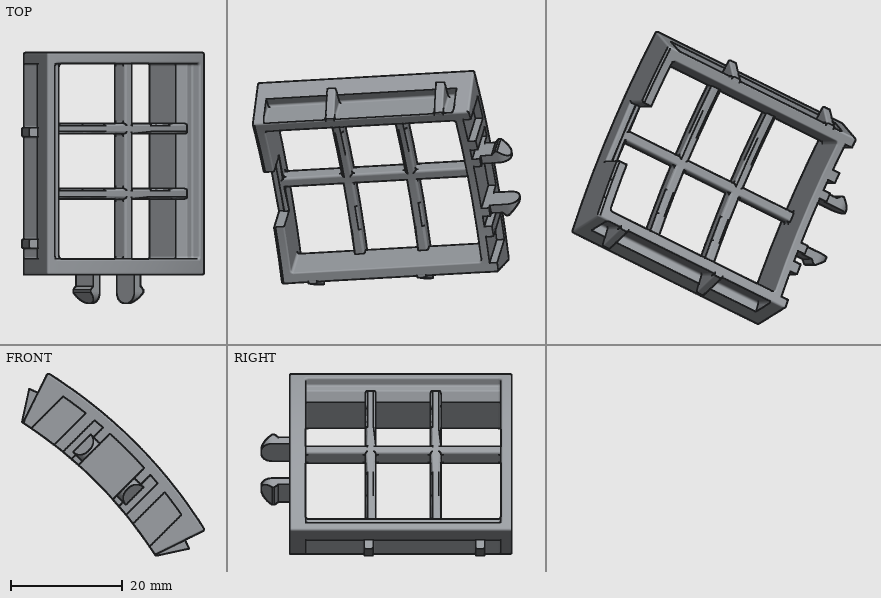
import cadquery as cq
import math


OUTER_RADIUS = 88.0
INNER_RADIUS = 78.05
OUTER_HALF_WIDTH = 19.95
END_TILT = 18.75
FRONT_Y = -19.88
BACK_Y = 20.0
EDGE_RADIUS = 0.4
SEAT_ANGLE = 45.0

CAVITY_FRONT_Y = -17.0
CAVITY_BACK_Y = 18.0
CAVITY_HALF_WIDTH = 14.8
FLARE_ANGLE = 45.0
LIP_HALF_WIDTH = 16.24
RECESS_HALF_WIDTH = 17.8
RECESS_DEPTH = 1.6
CAVITY_CORNER_RADIUS = 0.5
INNER_RIM_RADIUS = 0.3
RIM_SEARCH_SHARE = 0.8

BAR_WIDTH = 1.9
BAR_HEIGHT = 3.0
BAR_EDGE_RADIUS = 0.45
WINDOW_CORNER_RADIUS = 0.4
CROSSING_INSET = 0.55
WINDOW_ROWS = 3

POCKET_CEILING = 81.78
RIB_WIDTH = 1.6
RIB_SPACING = 20.0
RIB_OFFSET = 4.3
RIB_EDGE_RADIUS = 0.3
RIB_TIP = (20.3, 81.35)
RIB_ROOT_HEIGHT = 81.95
RIB_FOOT_PROJECTION = 0.28

GROOVE_DEPTH = 1.4
GROOVE_TOP_OFFSET = 2.0
PEG_INNER = 4.35
PEG_OUTER = 6.0
SLOT_OUTER = 8.0
PANEL_INNER = 10.0
PANEL_OUTER = 15.0

PEG_LENGTH = 5.1
PEG_BOTTOM = 78.88
PEG_TOP = 83.35
PEG_TIP_RADIUS = 2.0
HOOK_START = 2.0
HOOK_DEPTH = 0.7
HOOK_LAND = 0.4
HOOK_TAPER_END = 4.9
NOTCH_HALF_WIDTH = 5.75
NOTCH_TOP = 83.5

OVERCUT = 5.0

RECESS_RADIUS = OUTER_RADIUS - RECESS_DEPTH
BAR_BOTTOM_RADIUS = RECESS_RADIUS - BAR_HEIGHT
TILT_SLOPE = math.tan(math.radians(END_TILT))


def arc_height(radius, x):
    """Height of a centred arc above the arc centre at distance x from the middle."""
    return math.sqrt(radius**2 - x**2)


OUTER_CORNER_Z = arc_height(OUTER_RADIUS, OUTER_HALF_WIDTH)


def end_face_x(z):
    """Distance of the tilted end face from the middle at height z."""
    return OUTER_HALF_WIDTH - (OUTER_CORNER_Z - z) * TILT_SLOPE


def inner_corner():
    """Point where the tilted end face meets the inner arc."""
    cos_tilt = math.cos(math.radians(END_TILT))
    sin_tilt = math.sin(math.radians(END_TILT))
    along = OUTER_HALF_WIDTH * sin_tilt + OUTER_CORNER_Z * cos_tilt
    across = OUTER_HALF_WIDTH * cos_tilt - OUTER_CORNER_Z * sin_tilt
    length = math.sqrt(INNER_RADIUS**2 - across**2)
    distance = along - length
    return OUTER_HALF_WIDTH - distance * sin_tilt, OUTER_CORNER_Z - distance * cos_tilt


INNER_HALF_WIDTH, INNER_CORNER_Z = inner_corner()


def profile_at(y):
    """Sketch plane across the depth; extrusions from it run toward the front."""
    return cq.Workplane("XZ", origin=(0, y, 0))


def arc_block(x_start, x_end, bottom, radius, y_front, y_back):
    """Block with a flat bottom, plain sides and an arc-shaped top."""
    x_mid = (x_start + x_end) / 2
    return (
        profile_at(y_back)
        .moveTo(x_start, bottom)
        .lineTo(x_start, arc_height(radius, x_start))
        .threePointArc((x_mid, arc_height(radius, x_mid)), (x_end, arc_height(radius, x_end)))
        .lineTo(x_end, bottom)
        .close()
        .extrude(y_back - y_front)
    )


def mirror_ends(solid):
    """The solid together with its mirror image at the other end."""
    return solid.union(solid.mirror("YZ"))


def make_notch():
    """Notch through the back wall that takes the pegs of a neighbouring part."""
    bottom = INNER_RADIUS - OVERCUT
    return (
        profile_at(BACK_Y)
        .center(0, (NOTCH_TOP + bottom) / 2)
        .rect(2 * NOTCH_HALF_WIDTH, NOTCH_TOP - bottom)
        .extrude(BACK_Y - CAVITY_BACK_Y + EDGE_RADIUS)
    )


def make_frame():
    """Arc block with the peg notch and rounded edges; the front inner edge stays sharp."""
    frame = (
        profile_at(BACK_Y)
        .moveTo(-INNER_HALF_WIDTH, INNER_CORNER_Z)
        .lineTo(-OUTER_HALF_WIDTH, OUTER_CORNER_Z)
        .threePointArc((0, OUTER_RADIUS), (OUTER_HALF_WIDTH, OUTER_CORNER_Z))
        .lineTo(INNER_HALF_WIDTH, INNER_CORNER_Z)
        .threePointArc((0, INNER_RADIUS), (-INNER_HALF_WIDTH, INNER_CORNER_Z))
        .close()
        .extrude(BACK_Y - FRONT_Y)
        .cut(make_notch())
    )
    back_edges = frame.faces(">Y").edges()
    right_end = cq.selectors.BoxSelector(
        (INNER_HALF_WIDTH - EDGE_RADIUS, 2 * FRONT_Y, 0),
        (2 * OUTER_HALF_WIDTH, BACK_Y - EDGE_RADIUS, OUTER_RADIUS),
    )
    left_end = cq.selectors.BoxSelector(
        (-2 * OUTER_HALF_WIDTH, 2 * FRONT_Y, 0),
        (EDGE_RADIUS - INNER_HALF_WIDTH, BACK_Y - EDGE_RADIUS, OUTER_RADIUS),
    )
    end_edges = frame.edges(right_end + left_end)
    front_outer_edge = frame.edges(
        cq.selectors.NearestToPointSelector((0, FRONT_Y, OUTER_RADIUS))
    )
    return frame.newObject(
        back_edges.vals() + end_edges.vals() + front_outer_edge.vals()
    ).fillet(EDGE_RADIUS)


def make_cavity():
    """Shaft that flares out to a lip, under a shallow recess for a curved panel."""
    lip_z = arc_height(RECESS_RADIUS, LIP_HALF_WIDTH)
    flare_rise = (LIP_HALF_WIDTH - CAVITY_HALF_WIDTH) * math.tan(math.radians(FLARE_ANGLE))
    foot_z = arc_height(RECESS_RADIUS, RECESS_HALF_WIDTH)
    shaft_bottom = INNER_CORNER_Z - OVERCUT
    rim_x = RECESS_HALF_WIDTH + OVERCUT * TILT_SLOPE
    rim_z = foot_z + OVERCUT
    lip_mid_x = (LIP_HALF_WIDTH + RECESS_HALF_WIDTH) / 2
    lip_mid_z = arc_height(RECESS_RADIUS, lip_mid_x)
    half = (
        profile_at(CAVITY_BACK_Y)
        .moveTo(0, shaft_bottom)
        .lineTo(CAVITY_HALF_WIDTH, shaft_bottom)
        .lineTo(CAVITY_HALF_WIDTH, lip_z - flare_rise)
        .lineTo(LIP_HALF_WIDTH, lip_z)
        .threePointArc((lip_mid_x, lip_mid_z), (RECESS_HALF_WIDTH, foot_z))
        .lineTo(rim_x, rim_z)
        .lineTo(0, rim_z)
        .close()
        .extrude(CAVITY_BACK_Y - CAVITY_FRONT_Y)
    )
    step_edges = cq.selectors.BoxSelector(
        (LIP_HALF_WIDTH - EDGE_RADIUS, FRONT_Y, foot_z - EDGE_RADIUS),
        (RECESS_HALF_WIDTH + EDGE_RADIUS, BACK_Y, lip_z + EDGE_RADIUS),
    )
    half = half.edges("|Y").edges(step_edges).fillet(EDGE_RADIUS)
    side_edges = cq.selectors.BoxSelector(
        (CAVITY_HALF_WIDTH - EDGE_RADIUS, FRONT_Y, shaft_bottom + EDGE_RADIUS),
        (rim_x, BACK_Y, rim_z - EDGE_RADIUS),
    )
    half = half.edges("#Y").edges(side_edges).fillet(CAVITY_CORNER_RADIUS)
    return mirror_ends(half)


def round_openings(frame):
    """Round the edges of the cavity where it opens on the outer and inner faces."""
    foot_z = arc_height(RECESS_RADIUS, RECESS_HALF_WIDTH)
    y_front = CAVITY_FRONT_Y - EDGE_RADIUS / 2
    y_back = CAVITY_BACK_Y + EDGE_RADIUS / 2
    outer_rim = cq.selectors.BoxSelector(
        (-OUTER_HALF_WIDTH + EDGE_RADIUS, y_front, foot_z + RIM_SEARCH_SHARE * RECESS_DEPTH),
        (OUTER_HALF_WIDTH - EDGE_RADIUS, y_back, OUTER_RADIUS),
    )
    inner_rim = cq.selectors.BoxSelector(
        (-CAVITY_HALF_WIDTH - EDGE_RADIUS, y_front, INNER_CORNER_Z),
        (CAVITY_HALF_WIDTH + EDGE_RADIUS, y_back, INNER_RADIUS + EDGE_RADIUS),
    )
    frame = frame.edges(outer_rim).fillet(EDGE_RADIUS)
    return frame.edges(inner_rim).fillet(INNER_RIM_RADIUS)


def window_rows():
    """Front and back limits of each row of windows between the crosswise bars."""
    pitch = (CAVITY_BACK_Y - CAVITY_FRONT_Y) / WINDOW_ROWS
    rows = []
    for row in range(WINDOW_ROWS):
        row_front = CAVITY_FRONT_Y + row * pitch
        row_back = row_front + pitch
        if row > 0:
            row_front += BAR_WIDTH / 2
        if row < WINDOW_ROWS - 1:
            row_back -= BAR_WIDTH / 2
        rows.append((row_front, row_back))
    return rows


def make_lattice(bottom_radius, top_radius, corner_radius=0):
    """Square-edged curved grid; its windows run out past both ends of the bars."""
    bury = 2 * BAR_EDGE_RADIUS
    y_front = CAVITY_FRONT_Y - bury
    y_back = CAVITY_BACK_Y + bury
    reach = LIP_HALF_WIDTH
    bottom = INNER_RADIUS - OVERCUT
    lattice = arc_block(-reach, reach, bottom, top_radius, y_front, y_back)
    lattice = lattice.cut(arc_block(-reach, reach, bottom, bottom_radius, y_front, y_back))
    for row_front, row_back in window_rows():
        window = (
            cq.Workplane("XY", origin=(BAR_WIDTH / 2 + reach, (row_front + row_back) / 2, bottom))
            .rect(2 * reach, row_back - row_front)
            .extrude(OUTER_RADIUS - bottom)
        )
        if corner_radius:
            window = window.edges("|Z").fillet(corner_radius)
        lattice = lattice.cut(mirror_ends(window))
    return lattice


def make_bars():
    """Grid of rounded bars, buried in the frame, with fillets where the bars cross."""
    inside = cq.selectors.BoxSelector(
        (-LIP_HALF_WIDTH + EDGE_RADIUS, CAVITY_FRONT_Y - EDGE_RADIUS, INNER_RADIUS),
        (LIP_HALF_WIDTH - EDGE_RADIUS, CAVITY_BACK_Y + EDGE_RADIUS, OUTER_RADIUS),
    )
    bars = make_lattice(BAR_BOTTOM_RADIUS, RECESS_RADIUS)
    bars = bars.edges("not |Z").edges(inside).fillet(BAR_EDGE_RADIUS)
    crossings = make_lattice(
        BAR_BOTTOM_RADIUS + CROSSING_INSET, RECESS_RADIUS - CROSSING_INSET, WINDOW_CORNER_RADIUS
    )
    return bars.union(crossings)


def make_pocket_bay(y_front, y_back):
    """Wedge pocket in the end face between ribs, its ceiling square to the face."""
    ceiling_x = end_face_x(POCKET_CEILING)
    ceiling_drop = (ceiling_x - INNER_HALF_WIDTH) * TILT_SLOPE
    beyond = OVERCUT / 2
    return (
        profile_at(y_back)
        .moveTo(INNER_HALF_WIDTH, INNER_CORNER_Z - beyond)
        .lineTo(INNER_HALF_WIDTH, POCKET_CEILING + ceiling_drop)
        .lineTo(ceiling_x + beyond, POCKET_CEILING - beyond * TILT_SLOPE)
        .lineTo(ceiling_x + beyond, INNER_CORNER_Z - beyond)
        .close()
        .extrude(y_back - y_front)
        .faces("<X")
        .edges("not <Z")
        .fillet(EDGE_RADIUS)
    )


def make_end_pocket(rib_positions):
    """Row of pocket bays that leaves the ribs of this end standing."""
    pocket = cq.Workplane()
    y_front = CAVITY_FRONT_Y
    for rib_y in sorted(rib_positions):
        pocket = pocket.add(make_pocket_bay(y_front, rib_y - RIB_WIDTH / 2))
        y_front = rib_y + RIB_WIDTH / 2
    return pocket.add(make_pocket_bay(y_front, CAVITY_BACK_Y)).combine()


def make_rib(y):
    """Wedge rib standing in the pocket and leaning out past the end face."""
    root_x = end_face_x(RIB_ROOT_HEIGHT)
    return (
        profile_at(y + RIB_WIDTH / 2)
        .moveTo(CAVITY_HALF_WIDTH + EDGE_RADIUS, INNER_CORNER_Z + EDGE_RADIUS)
        .lineTo(INNER_HALF_WIDTH, INNER_CORNER_Z)
        .lineTo(INNER_HALF_WIDTH + RIB_FOOT_PROJECTION, INNER_CORNER_Z)
        .lineTo(*RIB_TIP)
        .lineTo(root_x, RIB_ROOT_HEIGHT)
        .lineTo(CAVITY_HALF_WIDTH + EDGE_RADIUS, RIB_ROOT_HEIGHT)
        .close()
        .extrude(RIB_WIDTH)
        .edges(cq.selectors.BoxSelector(
            (INNER_HALF_WIDTH + RIB_FOOT_PROJECTION, FRONT_Y, INNER_CORNER_Z + EDGE_RADIUS),
            (RIB_TIP[0] - EDGE_RADIUS, BACK_Y, RIB_TIP[1] - EDGE_RADIUS),
        ))
        .fillet(RIB_EDGE_RADIUS)
    )


def make_ribs(rib_positions):
    """The ribs of the right-hand end."""
    ribs = cq.Workplane()
    for rib_y in rib_positions:
        ribs = ribs.add(make_rib(rib_y))
    return ribs.combine()


def make_front_grooves():
    """Shallow recesses in the front face, open at the inner face."""
    spans = [
        (-PANEL_OUTER, -PANEL_INNER),
        (-SLOT_OUTER, -PEG_OUTER),
        (-PEG_INNER, PEG_INNER),
        (PEG_OUTER, SLOT_OUTER),
        (PANEL_INNER, PANEL_OUTER),
    ]
    grooves = cq.Workplane()
    for x_start, x_end in spans:
        grooves = grooves.add(arc_block(
            x_start, x_end, INNER_RADIUS - OVERCUT, OUTER_RADIUS - GROOVE_TOP_OFFSET,
            FRONT_Y, FRONT_Y + GROOVE_DEPTH,
        ))
    return grooves.combine()


def make_peg():
    """Snap peg with an outward hook and a tip rounded across its height."""
    hook_x = PEG_OUTER + HOOK_DEPTH
    hook_full = HOOK_START + HOOK_DEPTH
    taper_start = hook_full + HOOK_LAND
    tip_y = FRONT_Y - PEG_LENGTH
    root_y = FRONT_Y + GROOVE_DEPTH
    height = PEG_TOP - PEG_BOTTOM
    hooked = (
        cq.Workplane("XY", origin=(0, 0, PEG_BOTTOM))
        .moveTo(PEG_INNER, root_y)
        .lineTo(PEG_OUTER, root_y)
        .lineTo(PEG_OUTER, FRONT_Y - HOOK_START)
        .lineTo(hook_x, FRONT_Y - hook_full)
        .lineTo(hook_x, FRONT_Y - taper_start)
        .lineTo(HOOK_TAPER_END, tip_y)
        .lineTo(PEG_INNER, tip_y)
        .close()
        .extrude(height)
    )
    rounded = (
        cq.Workplane("XY", origin=(0, 0, PEG_BOTTOM))
        .moveTo(PEG_INNER, root_y)
        .lineTo(hook_x, root_y)
        .lineTo(hook_x, tip_y)
        .lineTo(PEG_INNER, tip_y)
        .close()
        .extrude(height)
        .edges("|X and <Y")
        .fillet(PEG_TIP_RADIUS)
    )
    return hooked.intersect(rounded)


part = round_openings(make_frame().cut(make_cavity())).union(make_bars())

right_ribs = (RIB_SPACING / 2 + RIB_OFFSET, -RIB_SPACING / 2 + RIB_OFFSET)
left_ribs = (RIB_SPACING / 2 - RIB_OFFSET, -RIB_SPACING / 2 - RIB_OFFSET)
part = part.cut(make_end_pocket(right_ribs)).union(make_ribs(right_ribs))
part = part.cut(make_end_pocket(left_ribs).mirror("YZ")).union(make_ribs(left_ribs).mirror("YZ"))

part = part.cut(make_front_grooves()).union(mirror_ends(make_peg()))

result = part.rotate((0, 0, 0), (0, 1, 0), SEAT_ANGLE)